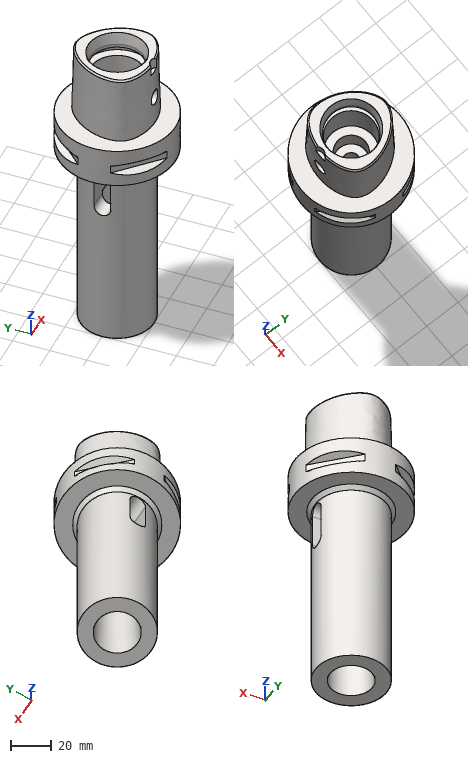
import cadquery as cq
import math

total_height = 168.0
flange_top = 130.0
flange_bottom = 108.0
neck_bottom = 105.8

flange_radius = 31.5
shank_radius = 20.0
neck_radius = 22.2

lobe_mean_radius = 22.1
lobe_height = 1.43
coupling_taper = 1 / 40
tip_chamfer_height = 1.0
tip_chamfer_width = 0.8

mouth_radius = 15.6
lip_radius = 14.3
lip_depth = 6.5
lip_land_height = 1.8
undercut_radius = 18.5
undercut_floor_depth = 13.5
pocket_radius = 14.0
pocket_floor = 131.0
recess_radius = 9.0
recess_floor = 117.6
through_radius = 4.45

socket_mouth_radius = 12.0
socket_end_radius = 9.7
socket_depth = 84.0

slot_width = 8.9
slot_bottom = 78.1
slot_top = 105.2

side_hole_radius = 4.12
side_hole_height = 145.5
notch_radius = 4.4
notch_depth = 6.2
notch_inner_y = -17.8

groove_height = 118.1
groove_flat_distance = 27.5
groove_flat_height = 4.2
groove_mouth_height = 7.9
groove_count = 4
groove_first_angle = 45


def lobed_wire(mean_radius, height):
    """Constant-width curve with three rounded lobes, one of them on +Y."""
    def point(t):
        angle = 2 * math.pi * t
        reach = mean_radius - lobe_height * math.sin(3 * angle)
        slope = -3 * lobe_height * math.cos(3 * angle)
        x = reach * math.cos(angle) - slope * math.sin(angle)
        y = reach * math.sin(angle) + slope * math.cos(angle)
        return cq.Vector(x, y, height)

    samples = 72
    points = [point(i / samples) for i in range(samples)]
    return cq.Wire.assembleEdges([cq.Edge.makeSpline(points, periodic=True)])


def make_coupling():
    shoulder = total_height - tip_chamfer_height
    shoulder_radius = lobe_mean_radius - coupling_taper * (shoulder - flange_top)
    base = lobed_wire(lobe_mean_radius, flange_top)
    middle = lobed_wire(shoulder_radius, shoulder)
    tip = lobed_wire(shoulder_radius - tip_chamfer_width, total_height)
    body = cq.Workplane(cq.Solid.makeLoft([base, middle], True))
    return body.union(cq.Workplane(cq.Solid.makeLoft([middle, tip], True)))


def revolve_profile(points):
    """Turn (radius, height) points about the Z axis."""
    return cq.Workplane("XZ").polyline(points).close().revolve(360, (0, 0), (0, 1))


def make_shank_and_flange():
    return revolve_profile([
        (0, 0),
        (shank_radius, 0),
        (shank_radius, neck_bottom),
        (neck_radius, flange_bottom),
        (flange_radius, flange_bottom),
        (flange_radius, flange_top),
        (0, flange_top),
    ])


def make_bores():
    lip_height = total_height - lip_depth
    land_bottom = lip_height - lip_land_height
    ledge_height = total_height - undercut_floor_depth
    return revolve_profile([
        (0, total_height),
        (mouth_radius, total_height),
        (lip_radius, lip_height),
        (lip_radius, land_bottom),
        (undercut_radius, land_bottom),
        (undercut_radius, ledge_height),
        (pocket_radius, ledge_height),
        (pocket_radius, pocket_floor),
        (recess_radius, pocket_floor),
        (recess_radius, recess_floor),
        (through_radius, recess_floor),
        (through_radius, socket_depth),
        (socket_end_radius, socket_depth),
        (socket_mouth_radius, 0),
        (0, 0),
    ])


def make_drift_slot():
    middle = (slot_bottom + slot_top) / 2
    length = slot_top - slot_bottom
    return (
        cq.Workplane("YZ")
        .center(0, middle)
        .slot2D(length, slot_width, 90)
        .extrude(shank_radius * 2, both=True)
    )


def make_side_hole():
    return (
        cq.Workplane("XZ")
        .center(0, side_hole_height)
        .circle(side_hole_radius)
        .extrude(flange_radius)
    )


def make_notch():
    return (
        cq.Workplane("XY", origin=(0, 0, total_height - notch_depth))
        .center(0, notch_inner_y - notch_radius)
        .circle(notch_radius)
        .extrude(notch_depth)
    )


def make_groove(angle):
    """Straight flared groove cut into the flange rim at the given angle."""
    half_flat = groove_flat_height / 2
    half_mouth = groove_mouth_height / 2
    section = [
        (groove_flat_distance, groove_height - half_flat),
        (flange_radius, groove_height - half_mouth),
        (flange_radius, groove_height + half_mouth),
        (groove_flat_distance, groove_height + half_flat),
    ]
    groove = cq.Workplane("XZ").polyline(section).close().extrude(flange_radius, both=True)
    return groove.rotate((0, 0, 0), (0, 0, 1), angle)


body = make_shank_and_flange().union(make_coupling())
body = body.cut(make_bores())
body = body.cut(make_drift_slot())
body = body.cut(make_side_hole())
body = body.cut(make_notch())
for index in range(groove_count):
    body = body.cut(make_groove(groove_first_angle + index * 360 / groove_count))

result = body